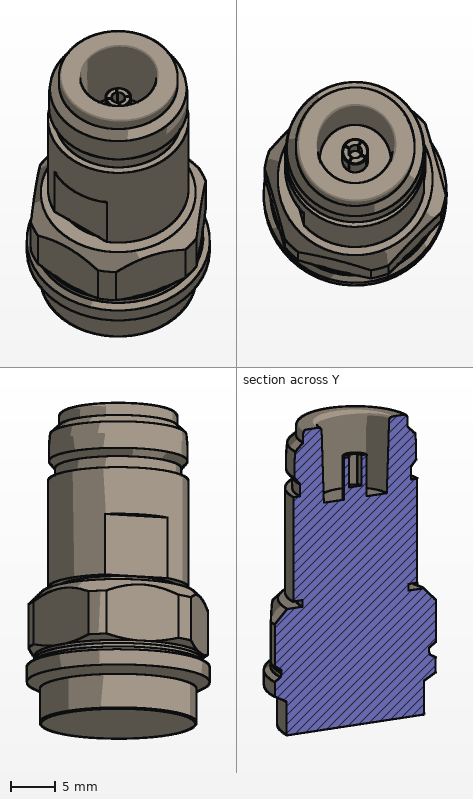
import cadquery as cq
import math

height = 35.95

spigot_radius = 8.9
spigot_chamfer = 0.15
collar_radius = 20.8 / 2
collar_flare_bottom_z = 4.03
collar_bottom_z = 4.8
collar_top_z = 6.58

groove_edge_radius = 9.67
groove_radius = 9.53
groove_edge_z = 7.05
groove_cone_top_z = 7.48

nut_across_flats = 18.98
nut_corner_radius = collar_radius
nut_bottom_z = 7.85
nut_lower_corner_z = 8.4
nut_upper_corner_z = 13.4
nut_top_z = 15.03
nut_top_radius = 8.8

neck_radius = 6.85
body_radius = 16.0 / 2
body_bottom_z = 15.75
body_top_z = 28.15
wrench_across_flats = 14.15
wrench_top_z = 22.75

undercut_radius = 7.2
undercut_top_z = 29.6
thread_radius = 15.8 / 2
thread_bottom_z = 30.4
thread_middle_z = 32.15
thread_end_radius = 7.75
thread_end_z = 33.5
lip_radius = 6.75
lip_bottom_z = 34.45
lip_fillet = 0.5

bore_mouth_radius = 4.3
bore_floor_radius = 4.03
bore_mouth_fillet = 0.5
bore_depth = 9.0

contact_radius = 1.47
contact_chamfer = 0.1
contact_top_depth = 4.03
contact_hole_radius = 0.75
contact_hole_depth = 3.6
contact_slot_width = 0.1
contact_slot_angles = (45, 135)


def revolve_profile(points):
    """Turn a closed (radius, z) outline about the Z axis."""
    return cq.Workplane("XZ").polyline(points).close().revolve(360, (0, 0, 0), (0, 1, 0))


def make_base():
    """Spigot, flared collar and groove, running up to the underside of the nut."""
    return revolve_profile([
        (0, 0),
        (spigot_radius - spigot_chamfer, 0),
        (spigot_radius, spigot_chamfer),
        (spigot_radius, collar_flare_bottom_z),
        (collar_radius, collar_bottom_z),
        (collar_radius, collar_top_z),
        (groove_edge_radius, groove_edge_z),
        (groove_radius, groove_cone_top_z),
        (groove_radius, nut_bottom_z),
        (0, nut_bottom_z),
    ])


def make_nut():
    """Hexagon prism with flats facing +Y and -Y, trimmed by a turned envelope."""
    hexagon_diameter = nut_across_flats / math.cos(math.pi / 6)
    hexagon = (
        cq.Workplane("XY")
        .workplane(offset=nut_bottom_z)
        .polygon(6, hexagon_diameter)
        .extrude(nut_top_z - nut_bottom_z)
    )
    envelope = revolve_profile([
        (0, nut_bottom_z),
        (groove_radius, nut_bottom_z),
        (nut_corner_radius, nut_lower_corner_z),
        (nut_corner_radius, nut_upper_corner_z),
        (nut_top_radius, nut_top_z),
        (0, nut_top_z),
    ])
    return hexagon.intersect(envelope)


def make_body():
    """Neck, cylindrical body and coupling end with a rounded lip."""
    body = revolve_profile([
        (0, nut_top_z),
        (neck_radius, nut_top_z),
        (neck_radius, body_bottom_z),
        (body_radius, body_bottom_z),
        (body_radius, body_top_z),
        (undercut_radius, body_top_z),
        (undercut_radius, undercut_top_z),
        (thread_radius, thread_bottom_z),
        (thread_radius, thread_middle_z),
        (thread_end_radius, thread_end_z),
        (lip_radius, lip_bottom_z),
        (lip_radius, height),
        (0, height),
    ])
    return body.faces(">Z").edges().fillet(lip_fillet)


def make_wrench_cutters():
    """Blocks outside the two wrench flats, facing +Y and -Y."""
    block_depth = body_radius
    flat_offset = wrench_across_flats / 2
    return (
        cq.Workplane("XY")
        .workplane(offset=body_bottom_z)
        .pushPoints([(0, side * (flat_offset + block_depth / 2)) for side in (-1, 1)])
        .rect(2 * body_radius, block_depth)
        .extrude(wrench_top_z - body_bottom_z)
    )


def make_bore():
    """Slightly tapered socket with a rounded mouth and a flat floor."""
    floor_z = height - bore_depth
    mouth_z = height - bore_mouth_fillet
    arc_inset = bore_mouth_fillet * (1 - math.sqrt(0.5))
    return (
        cq.Workplane("XZ")
        .moveTo(0, floor_z)
        .lineTo(bore_floor_radius, floor_z)
        .lineTo(bore_mouth_radius, mouth_z)
        .threePointArc(
            (bore_mouth_radius + arc_inset, height - arc_inset),
            (bore_mouth_radius + bore_mouth_fillet, height),
        )
        .lineTo(0, height)
        .close()
        .revolve(360, (0, 0, 0), (0, 1, 0))
    )


def make_contact():
    """Hollow contact pin split by crossing slots into four fingers."""
    contact_height = bore_depth - contact_top_depth
    contact = (
        cq.Workplane("XY")
        .workplane(offset=height - bore_depth)
        .circle(contact_radius)
        .extrude(contact_height)
        .faces(">Z")
        .chamfer(contact_chamfer)
        .faces(">Z")
        .workplane()
        .hole(2 * contact_hole_radius, contact_hole_depth)
    )
    slot_center_z = height - contact_top_depth - contact_hole_depth / 2
    for angle in contact_slot_angles:
        slot = (
            cq.Workplane("XY")
            .box(2 * contact_radius, contact_slot_width, contact_hole_depth)
            .rotate((0, 0, 0), (0, 0, 1), angle)
            .translate((0, 0, slot_center_z))
        )
        contact = contact.cut(slot)
    return contact


shell = make_base().union(make_nut()).union(make_body())
shell = shell.cut(make_wrench_cutters()).cut(make_bore())
result = shell.union(make_contact())